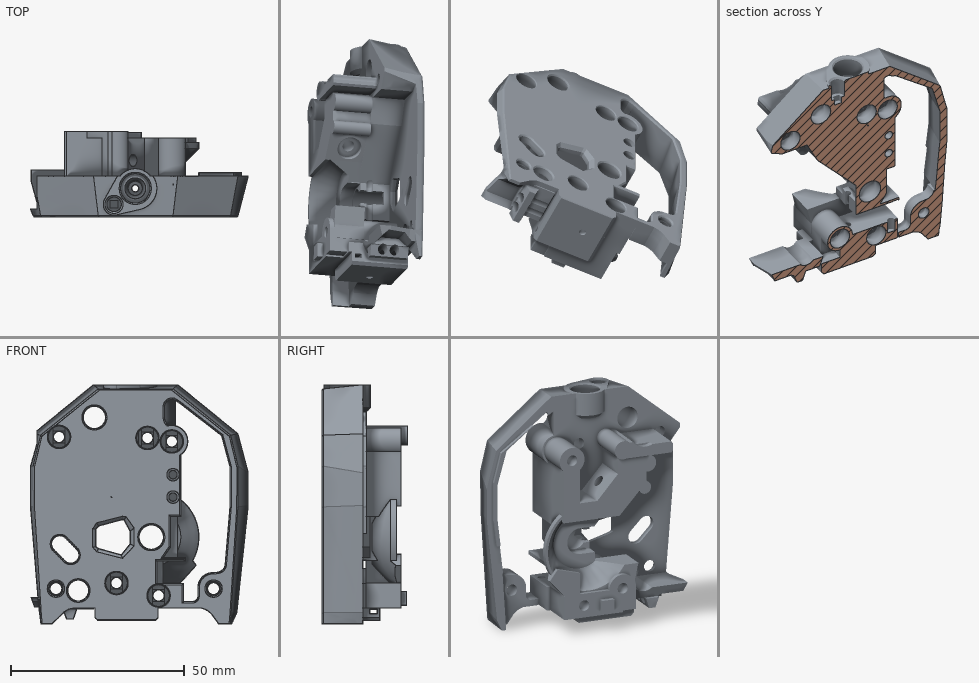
import cadquery as cq
import math



def sketch_at(y):
    """Workplane in X-Z at depth y (its normal points to -Y)."""
    return cq.Workplane("XZ", origin=(0, y, 0))


def prism(points, y0, y1):
    """Extrude an X-Z polygon from depth y0 to y1."""
    return sketch_at(y0).polyline(points).close().extrude(y0 - y1)


def taper_prism(front, back, y0, y1):
    """Ruled solid between two X-Z polygons at depths y0 and y1."""
    plane = sketch_at(y0).polyline(front).close().workplane(offset=y0 - y1)
    return plane.polyline(back).close().loft(ruled=True)


def box(x0, x1, y0, y1, z0, z1):
    """Box between opposite corners."""
    return cq.Workplane("XY").box(x1 - x0, y1 - y0, z1 - z0, centered=False).translate((x0, y0, z0))


def cyl_y(x, z, diameter, y0, y1):
    """Cylinder along Y."""
    return sketch_at(y0).center(x, z).circle(diameter / 2).extrude(y0 - y1)


def cyl_z(x, y, diameter, z0, z1):
    """Cylinder along Z."""
    return cq.Workplane("XY", origin=(x, y, z0)).circle(diameter / 2).extrude(z1 - z0)


def cone_y(x, z, d0, d1, y0, y1):
    """Cone along Y with diameter d0 at y0 and d1 at y1."""
    solid = cq.Solid.makeCone(d0 / 2, d1 / 2, y1 - y0, cq.Vector(x, y0, z), cq.Vector(0, 1, 0))
    return cq.Workplane(obj=solid)


def cone_z(x, y, d0, d1, z0, z1):
    """Cone along Z with diameter d0 at z0 and d1 at z1."""
    solid = cq.Solid.makeCone(d0 / 2, d1 / 2, z1 - z0, cq.Vector(x, y, z0), cq.Vector(0, 0, 1))
    return cq.Workplane(obj=solid)


def mirrored(half):
    """Close a right-hand half outline (top to bottom) by mirroring it about X = 0."""
    return half + [(-x, z) for x, z in reversed(half)]


def cut_bevelled(body, profile, length, bevel=0.4):
    """Cut an X-Z profile into the body from the front face, with a bevelled rim."""
    wire = profile.wire().val()
    straight = sketch_at(0).add(wire).toPending().extrude(-length)
    rim = sketch_at(0).add(wire).toPending().offset2D(bevel, "intersection").extrude(-bevel, taper=45)
    return body.cut(straight).cut(rim)


height = 68.69
depth = 24.7
edge_chamfer = 0.5
plate_back = 2.4
frame_back = 11.8
lip_back = 12.8
rear_face = 22.8
dish_back = 21.5
block_split = 12.7
front_inset = 0.35

half_front = [(10.75, 67.5), (27.3, 54.2), (29.45, 45.3), (29.4, 33.6), (27.45, 3.2), (27.2, 0)]
half_back = [(12.1, height), (29.4, 54.6), (32.37, 43.4), (32.37, 34.0), (29.1, 3.2), (27.6, 0)]
left_back = [(-x, z) for x, z in half_back]
left_back[2:4] = [(-34.4, 43.4), (-34.4, 34.0)]
back_outline = half_back + left_back[::-1]
half_face = [(x - front_inset, z - front_inset) for x, z in half_front[:-1]]
half_face.append((half_front[-1][0] - front_inset, 0))

shaft_x, shaft_z = 4.5, 24.9
filament_x, filament_y = -0.1, 8.3
screw_spots = [(-22.0, 53.7), (3.4, 53.4), (10.4, 52.4), (-5.5, 11.7), (6.6, 8.1)]
vent_hole = (-11.85, 59.3, 6.4)
window_post = screw_spots[2]
through_diameter = 3.2

body_left = -0.3
body_right = 13.0
slant_top = (-13.0, 43.0)
slant_bottom = (body_left, 29.0)
plate_floor = 4.5


def frame_shell():
    """Flared frame block with its bevelled front face."""
    shell = taper_prism(mirrored(half_front), back_outline, edge_chamfer, frame_back)
    face = taper_prism(mirrored(half_face), mirrored(half_front), 0, edge_chamfer)
    return shell.union(face)


def left_relief():
    """Open space behind the thin left plate, below the slanted underside of the upper block."""
    behind = frame_back + 1
    roof_x, roof_z = -25.0, 49.9
    low = [(roof_x, roof_z), (roof_x, -1), (-40, -1)]
    outer = taper_prism([(-40, 51.2), (-28.4, 51.2)] + low, [(-40, 54.6), (-28.4, 54.6)] + low,
                        plate_back, behind)
    flank = box(-40, -28.4, plate_back, behind, -1, 60)
    inner = prism([(-26, roof_z), (slant_top[0] - 3.5, roof_z), slant_top, slant_bottom, (body_left, 18.3),
                   (14, 18.3), (14, -1), (-26, -1)], plate_back, behind)
    return outer.union(flank).union(inner)


def foot_gap():
    """Space between the two feet, with rounded flanks."""
    profile = (sketch_at(0).moveTo(-24.1, -0.1).lineTo(-20.8, 3.1)
               .threePointArc((-19.3, 4.1), (-17.4, plate_floor)).lineTo(18.8, plate_floor)
               .threePointArc((20.4, 3.9), (21.8, 2.8)).lineTo(23.9, -0.1).close())
    return profile.extrude(-(frame_back + 1))


def foot_relief():
    """Sloped thinning behind the left foot."""
    profile = [(1.0, -0.1), (plate_back, 5.5), (4.0, 5.5), (4.0, -0.1)]
    return cq.Workplane("YZ", origin=(-40, 0, 0)).polyline(profile).close().extrude(28)


def bottom_tab():
    """Tongue under the plate, carried back as the outlet block with a cross slot."""
    left, right, low, corner = -11.7, 6.5, 0.9, 0.9
    outline = [(left, 5), (left, low + corner), (left + corner, low), (right - corner, low),
               (right, low + corner), (right, 5)]
    tab = prism(outline, 0, 16.7)
    tab = tab.faces("<Y").edges("<Z").chamfer(0.3)
    return tab.cut(box(left - 1, right + 1, 13.8, 15.9, 2.9, 4.1))


def window_profile():
    """Outline of the large side window between the body and the right frame bar."""
    outline = (sketch_at(0).moveTo(8.3, 59.3).lineTo(8.3, 62.4)
               .threePointArc((9.1, 64.0), (10.9, 64.5)).lineTo(12.4, 63.6).lineTo(24.7, 54.1)
               .lineTo(27.1, 45.2).lineTo(27.1, 33.6).lineTo(25.7, 16.8)
               .threePointArc((24.9, 15.4), (23.4, 14.8)).lineTo(22.2, 14.7)
               .threePointArc((19.1, 13.4), (17.9, 10.1)).lineTo(17.9, 7.8)
               .threePointArc((17.5, 6.9), (16.5, 6.4)).lineTo(13.8, 6.4).lineTo(13.8, 11.6)
               .lineTo(6.1, 11.6).lineTo(6.1, 18.0).lineTo(14.3, 18.0).lineTo(14.3, 19.1).lineTo(8.0, 19.1)
               .lineTo(10.05, 22.1).lineTo(10.05, 30.8).lineTo(body_right, 30.8)
               .lineTo(body_right, 55.0).lineTo(11.2, 56.6)
               .threePointArc((9.1, 57.4), (8.3, 59.3)).close())
    return outline


def window_flare():
    """Widening of the window toward the back of the frame bar."""
    return taper_prism(
        [(10.5, 60.0), (12.4, 63.6), (24.7, 54.1), (27.1, 45.2), (27.1, 33.6), (25.7, 17.0), (20.0, 17.0)],
        [(11.5, 60.0), (13.6, 64.4), (26.6, 54.6), (29.5, 44.6), (29.5, 33.9), (27.4, 17.0), (20.0, 17.0)],
        edge_chamfer, lip_back + 0.5)


def window_wedge():
    """Slanted inner wall at the top left of the window."""
    near, far = 8.3, 11.4
    profile = [(near, edge_chamfer), (far, frame_back), (near, frame_back)]
    return cq.Workplane("XY", origin=(0, 0, 56.5)).polyline(profile).close().extrude(8.0)


def right_foot_pocket():
    """Space behind the right foot, leaving the outer bar."""
    return prism([(14.0, -1), (26.2, -1), (27.4, 17.2), (14.0, 17.2)], 7.0, lip_back + 1)


def lip():
    """Low lip on the back of the frame bar, along the window."""
    outline = [(12.4, 60.9), (18.4, 60.9), (28.2, 54.0), (30.5, 45.3), (30.5, 33.6), (29.6, 26.0),
               (20.0, 26.0), (20.0, 45.0), (12.4, 55.0)]
    return prism(outline, frame_back, lip_back)


def rear_body():
    """Upper body behind the plate with its slanted faces, posts and wall."""
    outline = [slant_top, (slant_top[0], 51.5), (-4.0, 51.5), (-4.0, 46.5), (2.5, 39.2), (8.0, 39.2),
               (8.0, 52.4), (body_right, 52.4), (body_right, 33.8), (-4.5, 33.8)]
    body = prism(outline, plate_back, rear_face)
    body = body.union(cyl_y(-13.5, 48.5, 5.0, frame_back, rear_face))
    body = body.union(cyl_y(-12.5, 41.3, 3.8, frame_back, rear_face))
    return body.union(cyl_y(*window_post, 7.8, plate_back, rear_face))


def rear_ledge():
    """Flat ledge with a rounded end at the deepest part of the back."""
    slab = box(-20.5, -5.0, frame_back - 1, depth, 51.5, 54.8)
    slab = slab.edges("|Y and <X").chamfer(0.6)
    end = cyl_y(-4.95, 54.1, 5.5, frame_back - 1, depth)
    hole_x, hole_z = vent_hole[:2]
    fillet = box(-10.0, -5.0, frame_back, depth, 54.0, 56.2)
    clearance = cyl_y(hole_x, hole_z, 10.0, frame_back, depth)
    notch = cyl_y(hole_x, hole_z, 10.0, rear_face, depth)
    return slab.union(fillet.cut(clearance)).union(end).cut(notch)


def window_boss():
    """Round boss that carries the counterbore beside the window."""
    return cyl_y(*window_post, 9.2, 0, frame_back)


def middle_body():
    """Body around the shaft bore, between the slanted face and the lower block."""
    front = prism([(-4.5, 33.8), slant_bottom, (body_left, 18.2), (12.0, 18.2), (12.0, 30.8),
                   (body_right, 30.8), (body_right, 33.8)], plate_back, dish_back)
    return front


def gear_dish():
    """Conical dish around the shaft with a straight corner below."""
    rim_start, rim_diameter = 19.7, 27.4
    dish = cone_y(shaft_x, shaft_z, 17.0, rim_diameter, 14.5, rim_start)
    dish = dish.union(cyl_y(shaft_x, shaft_z, rim_diameter, rim_start, dish_back))
    corner = prism([(12.8, 11.7), (17.4, 16.8), (15.0, 20.0), (7.9, 18.0), (7.9, 11.7)], plate_back, rear_face)
    corner_d = 31.0
    spread = cone_y(shaft_x, shaft_z, 17.0, corner_d, 14.5, dish_back)
    corner = corner.intersect(spread.union(cyl_y(shaft_x, shaft_z, corner_d, dish_back, rear_face)))
    keep = prism([(body_left, 40), (20, 40), (20, 16.8), (17.4, 16.8), (12.8, 11.7), (body_left, 11.7)],
                 plate_back, depth)
    return dish.union(corner).intersect(keep)


def gear_cavity():
    """Dish recess, gear seat and shaft passage, all open toward -X."""
    seat_front, seat_back = 11.0, 14.8
    seat_height, passage_height = 7.8, 3.9
    recess = cone_y(shaft_x, shaft_z, 16.4, 25.8, seat_back, dish_back)
    seat = cyl_y(shaft_x, shaft_z, seat_height, seat_front, seat_back)
    mouth = box(-3, shaft_x, seat_front, seat_back, shaft_z - seat_height / 2, shaft_z + seat_height / 2)
    passage = box(-3, shaft_x, 4.0, seat_front, shaft_z - passage_height / 2, shaft_z + passage_height / 2)
    return recess.union(seat).union(mouth).union(passage)


def lower_block():
    """Stepped lower block with the rounded screw post and the rear ledge."""
    post_x, post_z = screw_spots[3]
    deep = prism([(-5.5, 7.4), (-9.8, 9.0), (-9.8, 12.9), (-11.0, 18.3), (7.9, 18.3), (7.9, 11.7),
                  (12.8, 11.7), (12.8, plate_floor), (-5.5, plate_floor)], block_split, dish_back)
    post = cyl_y(post_x, post_z, 8.4, plate_back, rear_face)
    base = box(post_x, 12.8, dish_back - 1, rear_face, plate_floor, 11.7)
    cheek = box(-9.7, post_x, 7.2, rear_face, 5.0, post_z)
    outlet = box(-11.7, 6.5, frame_back, 17.6, plate_floor, 7.4)
    pilot = cyl_z(11.6, 3.7, 2.2, 7.6, 11.6)
    front = box(post_x, 13.8, plate_back, block_split, plate_floor, 11.6)
    ledge = box(-2.2, 1.65, rear_face - 1, 24.4, 5.3, 9.3)
    return deep.union(post).union(base).union(front).union(ledge).union(cheek).union(outlet).cut(pilot)


def side_wing():
    """Flat wing at the lower left with a hanging bar and two cross holes."""
    left, back, low, top = -30.0, 13.6, 4.3, 7.5
    outline = [(left, back), (left, 10.2), (-28.3, 4.0), (-28.3, edge_chamfer), (-11.0, edge_chamfer),
               (-11.0, back)]
    wing = cq.Workplane("XY", origin=(0, 0, top)).polyline(outline).close()
    wing = wing.extrude(low - top, taper=20)
    bar = prism([(-21.0, low), (-19.8, 1.3), (-17.9, 1.3), (-16.9, low)], plate_back, back)
    arch = [(13.3, low - 0.1), (10.8, 6.4), (5.6, 6.4), (3.1, low - 0.1)]
    wing = wing.cut(cq.Workplane("YZ", origin=(left - 1, 0, 0)).polyline(arch).close().extrude(9.5))
    wing = wing.union(bar)
    for y in (6.6, 10.1):
        hole = cq.Workplane("YZ", origin=(left - 1, y, 3.2)).circle(2.8 / 2).extrude(20)
        wing = wing.cut(hole)
    return wing


inlet_floor = 60.9
inlet_side = (-6.2, 3.7)


def inlet_boss():
    """Large and small inlet rings joined by their outer tangents."""
    big_r, small_r = 6.2, 3.1
    sleeve_d = 2 * (13.96 - filament_y)
    dx = inlet_side[0] - filament_x
    dy = inlet_side[1] - filament_y
    heading = math.atan2(dy, dx)
    spread = math.acos((big_r - small_r) / math.hypot(dx, dy))
    corners = []
    for side in (-1, 1):
        angle = heading + side * spread
        tangent = [(filament_x + big_r * math.cos(angle), filament_y + big_r * math.sin(angle)),
                   (inlet_side[0] + small_r * math.cos(angle), inlet_side[1] + small_r * math.sin(angle))]
        corners += tangent if side < 0 else tangent[::-1]
    pad_z = height - 1.3
    pad = cq.Workplane("XY", origin=(0, 0, pad_z)).polyline(corners).close().extrude(height - pad_z)
    pad = pad.union(cyl_z(*inlet_side, 2 * small_r, pad_z, height))
    pad = pad.union(cyl_z(filament_x, filament_y, 2 * big_r, pad_z, height))
    pad = pad.intersect(box(-15, 15, 0, frame_back, pad_z, height))
    sleeve = cyl_z(filament_x, filament_y, sleeve_d, inlet_floor, height).faces("<Z").chamfer(1.2)
    return pad.union(sleeve)


def inlet_holes():
    """Coupler bore, guide cone and filament path, plus the small square-ended pocket."""
    bore_d, cone_d, path_d = 8.45, 6.0, 2.0
    bore_end, cone_end = 62.5, 59.0
    cut = cyl_z(filament_x, filament_y, bore_d, bore_end, height)
    cut = cut.union(cone_z(filament_x, filament_y, bore_d, bore_d + 0.8, height - 0.4, height))
    cut = cut.union(cone_z(filament_x, filament_y, 4.1, cone_d, cone_end, bore_end))
    cut = cut.union(cyl_z(filament_x, filament_y, path_d, -1, cone_end))
    pocket_d, pocket_end, square = 4.2, 63.0, 2.2
    cut = cut.union(cyl_z(*inlet_side, pocket_d, pocket_end, height))
    cut = cut.union(cone_z(*inlet_side, pocket_d, pocket_d + 1.0, height - 0.5, height))
    half = square / 2
    x, y = inlet_side
    return cut.union(box(x - half, x + half, y - half, y + half, pocket_end - 2, pocket_end))


def plain_hole(x, z, diameter):
    """Through hole with a small front chamfer."""
    bevel = 0.4
    hole = cyl_y(x, z, diameter, -1, depth + 1)
    return hole.union(cone_y(x, z, diameter + 2 * bevel, diameter, 0, bevel))


def stepped_screw_hole(x, z, head, floor):
    """Counterbore whose floor steps through a slot and a square down to the screw hole."""
    bevel, step, square = 0.25, 0.3, 3.4
    half = square / 2
    bore = cyl_y(x, z, head, -1, floor)
    bore = bore.union(cone_y(x, z, head + 2 * bevel, head, 0, bevel))
    slot = box(x - half, x + half, floor - 1, floor + step, z - head / 2, z + head / 2)
    slot = slot.intersect(cyl_y(x, z, head, floor - 1, floor + step))
    bore = bore.union(slot)
    bore = bore.union(box(x - half, x + half, floor - 1, floor + 2 * step, z - half, z + half))
    return bore.union(cyl_y(x, z, through_diameter, -1, depth + 1))


def foot_hole(x, z):
    """Bevelled counterbore and screw hole in a foot."""
    head, shank, bevel, floor = 4.2, 3.4, 0.4, 1.6
    hole = cyl_y(x, z, shank, -1, depth + 1).union(cyl_y(x, z, head, -1, floor))
    return hole.union(cone_y(x, z, head + 2 * bevel, head, 0, bevel))


def blind_pin_hole(x, z):
    """Blind two-step hole near the window edge."""
    return cyl_y(x, z, 3.6, -1, 3.0).union(cyl_y(x, z, 2.4, -1, 6.0))


def slanted_slot():
    """Obround slot through the plate."""
    start, end, width, bevel = (-21.8, 22.95), (-18.65, 19.75), 4.7, 0.4
    length = math.hypot(end[0] - start[0], end[1] - start[1])
    angle = math.degrees(math.atan2(end[1] - start[1], end[0] - start[0]))
    middle = ((start[0] + end[0]) / 2, (start[1] + end[1]) / 2)
    slot = cq.Workplane("XZ", origin=(0, 0, 0)).center(*middle)
    slot = slot.slot2D(length + width + 2 * bevel, width + 2 * bevel, angle)
    slot = slot.extrude(-bevel, taper=45)
    through = sketch_at(-1).center(*middle).slot2D(length + width, width, angle).extrude(-depth)
    return slot.union(through)


def gear_window():
    """Bevelled polygonal opening in front of the gears."""
    bevel = 1.1
    outer = [(-12.4, 27.2), (-11.2, 29.0), (-3.7, 30.9), (-2.8, 30.8), (-0.4, 27.5), (-0.4, 22.4),
             (-3.8, 18.8), (-11.2, 20.7), (-12.4, 22.1)]
    inner = [(-11.4, 27.2), (-10.6, 28.1), (-3.9, 29.9), (-3.3, 29.8), (-1.6, 26.6), (-1.6, 22.9),
             (-4.1, 19.8), (-10.6, 21.6), (-11.4, 22.1)]
    return taper_prism(outer, inner, 0, bevel).union(prism(inner, bevel / 2, plate_back + 1))


def tension_screw_hole():
    """Counterbored hole square to the slanted face of the body."""
    y = 16.3
    mouth = cq.Vector(-7.3, y, 36.9)
    run = slant_bottom[0] - slant_top[0]
    drop = slant_top[1] - slant_bottom[1]
    axis = cq.Vector(drop, 0, run).normalized()
    start = mouth - axis * 1.5
    head = cq.Solid.makeCylinder(7.0 / 2, 3.0, start, axis)
    shank = cq.Solid.makeCylinder(3.4 / 2, 14.0, start, axis)
    return cq.Workplane(obj=head).union(cq.Workplane(obj=shank))


result = frame_shell().cut(left_relief())
result = result.cut(foot_gap())
result = result.union(lip())
result = result.union(bottom_tab())
result = result.union(middle_body())
result = cut_bevelled(result, window_profile(), lip_back + 1)
result = result.cut(window_flare()).cut(right_foot_pocket()).cut(foot_relief())
result = result.union(window_wedge())
result = result.union(window_boss())
for solid in (rear_body(), rear_ledge(), gear_dish(), lower_block(), side_wing(),
              inlet_boss()):
    result = result.union(solid)
result = result.cut(gear_cavity()).cut(inlet_holes())
for spot in screw_spots:
    result = result.cut(stepped_screw_hole(*spot, 6.25, 8.0))
for x in (-22.9, 22.4):
    result = result.cut(foot_hole(x, 10.1))
for x, z, diameter in (vent_hole, (-16.5, 9.55, 6.0), (shaft_x, shaft_z, 7.0)):
    result = result.cut(plain_hole(x, z, diameter))
for z in (36.4, 42.85):
    result = result.cut(blind_pin_hole(10.75, z))
result = result.cut(slanted_slot()).cut(gear_window()).cut(tension_screw_hole())